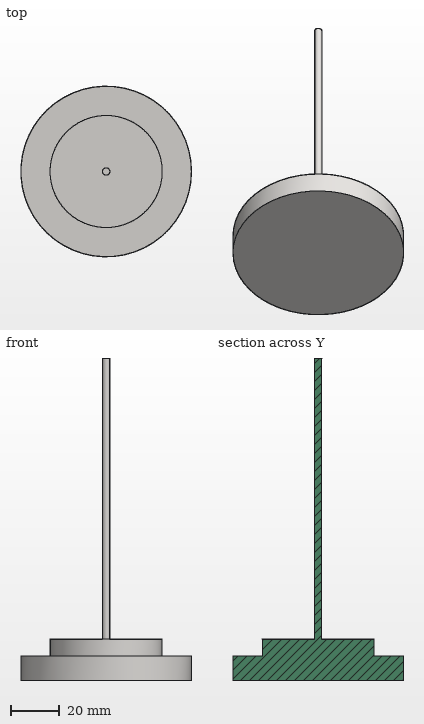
import cadquery as cq

total_height = 132.0

base_diameter = 70.0
base_height = 10.2

step_diameter = 46.0
step_height = 6.9

rod_diameter = 3.0


def disc(diameter, bottom, top):
    """Upright cylinder on the Z axis between two heights."""
    return cq.Workplane("XY").workplane(offset=bottom).circle(diameter / 2).extrude(top - bottom)


step_top = base_height + step_height

base = disc(base_diameter, 0, base_height)
step = disc(step_diameter, base_height, step_top)
rod = disc(rod_diameter, step_top, total_height)

result = base.union(step).union(rod)